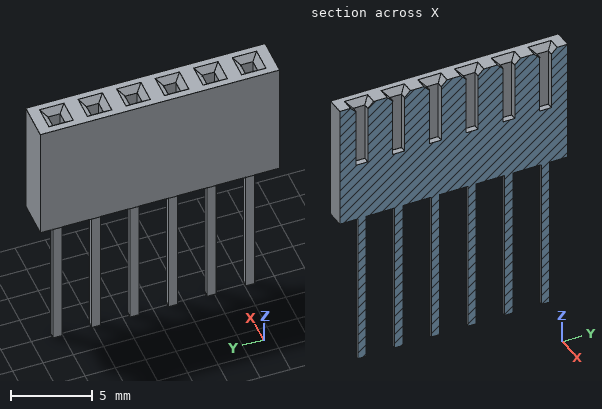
import cadquery as cq

contact_count = 6
pitch = 2.54
body_width = 2.5
body_length = 15.79
body_height = 8.5

pin_thickness = 0.4
pin_width = 0.6
pin_length = 10.5

mouth_size = 1.6
hole_size = 0.8
lead_in_depth = 0.4
hole_depth = 4.0

first_contact_y = -(contact_count - 1) * pitch / 2


def make_body():
    return cq.Workplane("XY").box(body_width, body_length, body_height, centered=(True, True, False))


def make_pin(y):
    pin = cq.Workplane("XY").box(pin_thickness, pin_width, pin_length, centered=(True, True, False))
    return pin.translate((0, y, -pin_length))


def make_socket(y):
    lead_in = (
        cq.Workplane("XY", origin=(0, y, body_height))
        .rect(mouth_size, mouth_size)
        .workplane(offset=-lead_in_depth)
        .rect(hole_size, hole_size)
        .loft(ruled=True)
    )
    hole = (
        cq.Workplane("XY", origin=(0, y, body_height - lead_in_depth))
        .rect(hole_size, hole_size)
        .extrude(-hole_depth)
    )
    return lead_in.union(hole)


result = make_body()
for i in range(contact_count):
    contact_y = first_contact_y + i * pitch
    result = result.union(make_pin(contact_y)).cut(make_socket(contact_y))